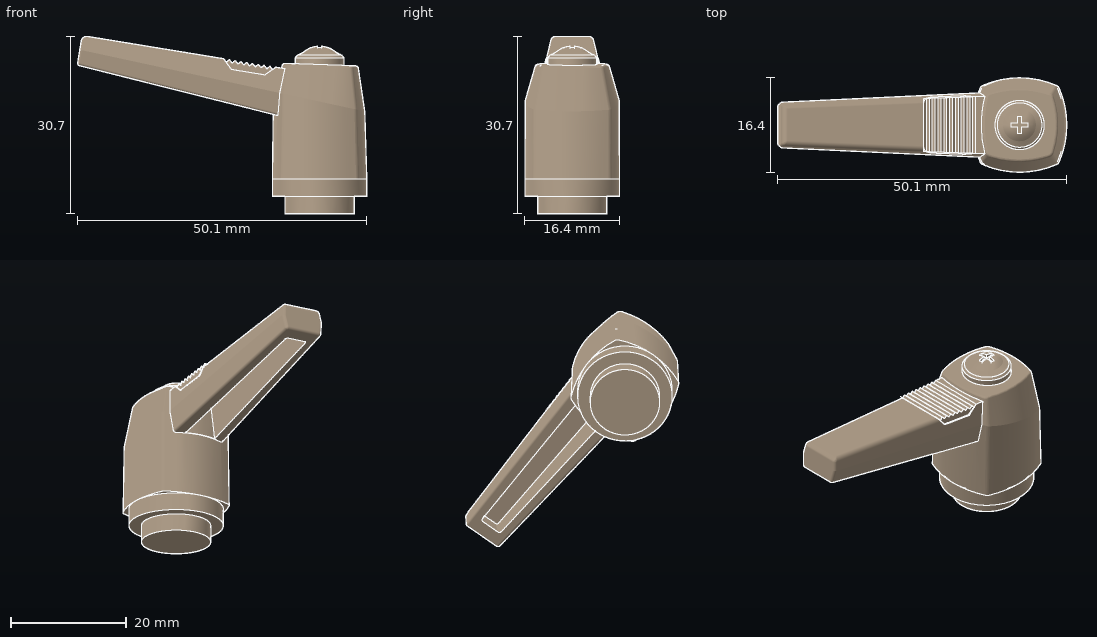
import cadquery as cq
import math


spigot_diameter = 12.0
overall_length = 50.1
collar_diameter = 16.4
spigot_height = 3.0
hub_base_z = 6.05

hub_base_bulge = collar_diameter / 2
hub_base_corner = 6.7
hub_bend_bulge_right = 7.85
hub_bend_bulge_left = 8.0
hub_bend_corner_x = 6.4
hub_bend_bulge_y = hub_base_bulge
hub_bend_corner_y = 6.65
hub_top_bulge_right = 6.65
hub_top_bulge_left = 6.35
hub_top_corner_x = 5.7
hub_top_bulge_y = 6.35
hub_top_corner_y = 5.35
hub_top_z = 25.85
hub_top_slope = math.tan(math.radians(2))
hub_corner_radius = 1.0
hub_top_radius = 0.5
corner_edge_min_rise = 4.5

washer_diameter = 8.5
washer_base_z = 25.05
washer_side_z = 27.0
washer_shoulder_diameter = 7.7
washer_shoulder_z = 27.45
screw_diameter = 5.7
screw_base_z = 27.95
screw_top_z = 29.05
cross_length = 2.9
cross_width = 0.7
cross_floor_z = 28.3

arm_top_z = 24.15
arm_top_slope = math.tan(math.radians(9.3))
parting_z = 19.4
parting_slope = math.tan(math.radians(12.2))
arm_bottom_z = 15.2
arm_bottom_slope = math.tan(math.radians(14.1))
arm_half_width = 5.9
arm_width_slope = 0.047
side_draft = math.tan(math.radians(8.5))
arm_root_x = -2.5
arm_top_radius = 1.0
arm_edge_radius = 0.5
tip_rounding = 0.07
arm_tip_x = collar_diameter / 2 - overall_length - tip_rounding
steep_normal = 0.9

channel_tip_x = -39.35
channel_roof_drop = 1.95
channel_half_width = 3.25
channel_width_slope = 0.03
channel_overcut = 0.5
channel_radius = 0.4
channel_end_x = -8.15
channel_end_radius = 14.9

groove_count = 9
groove_pitch = 1.0
groove_depth = 0.5
grip_start_x = -16.65
grip_depth = 1.65
grip_start_run = 1.35
grip_end_run = 1.85
grip_half_width = 5.15
grip_width_slope = 0.034
grip_low_start_x = grip_start_x + grip_start_run
grip_end_x = grip_start_x + groove_count * groove_pitch
grip_low_end_x = grip_end_x - grip_end_run
cutter_half_width = 10.0


def top_height(x):
    return arm_top_z - arm_top_slope * x


def parting_height(x):
    return parting_z - parting_slope * x


def bottom_height(x):
    return arm_bottom_z - arm_bottom_slope * x


def hub_top_height(x):
    return hub_top_z - hub_top_slope * x


def hub_base_height(x):
    return hub_base_z


def flat_face(points):
    return cq.Face.makeFromWires(cq.Wire.makePolygon([cq.Vector(*p) for p in points], close=True))


def flat_sided_solid(start, end):
    """Solid with flat sides between two sections that have matching corners."""
    faces = [flat_face(start), flat_face(end)]
    for i in range(len(start)):
        faces.append(flat_face([start[i - 1], start[i], end[i], end[i - 1]]))
    return cq.Workplane(obj=cq.Solid.makeSolid(cq.Shell.makeShell(faces)))


def hub_section(bulge_right, bulge_left, corner_x, bulge_y, corner_y, height):
    """Four-arc outline lying on the plane z = height(x)."""
    corners = [(corner_x, -corner_y), (corner_x, corner_y), (-corner_x, corner_y), (-corner_x, -corner_y)]
    middles = [(bulge_right, 0), (0, bulge_y), (-bulge_left, 0), (0, -bulge_y)]
    edges = []
    for i, middle in enumerate(middles):
        arc_points = [corners[i], middle, corners[(i + 1) % len(corners)]]
        edges.append(cq.Edge.makeThreePointArc(*[cq.Vector(x, y, height(x)) for x, y in arc_points]))
    return cq.Wire.assembleEdges(edges)


def make_hub():
    base = hub_section(
        hub_base_bulge, hub_base_bulge, hub_base_corner, hub_base_bulge, hub_base_corner, hub_base_height
    )
    bend = hub_section(
        hub_bend_bulge_right,
        hub_bend_bulge_left,
        hub_bend_corner_x,
        hub_bend_bulge_y,
        hub_bend_corner_y,
        parting_height,
    )
    top = hub_section(
        hub_top_bulge_right,
        hub_top_bulge_left,
        hub_top_corner_x,
        hub_top_bulge_y,
        hub_top_corner_y,
        hub_top_height,
    )
    hub = cq.Workplane(obj=cq.Solid.makeLoft([base, bend, top], True))
    corner_edges = hub.edges().filter(lambda edge: edge.BoundingBox().zlen > corner_edge_min_rise)
    hub = corner_edges.fillet(hub_corner_radius)
    return hub.faces(">Z").edges().fillet(hub_top_radius)


def make_base():
    spigot = cq.Workplane().circle(spigot_diameter / 2).extrude(spigot_height)
    collar = (
        cq.Workplane()
        .workplane(offset=spigot_height)
        .circle(collar_diameter / 2)
        .extrude(hub_base_z - spigot_height)
    )
    return spigot.union(collar)


def make_screw_and_washer():
    screw_radius = screw_diameter / 2
    dome_rise = screw_top_z - screw_base_z
    dome_radius = (screw_radius**2 + dome_rise**2) / (2 * dome_rise)
    half_angle = math.asin(screw_radius / dome_radius) / 2
    dome_middle = (
        dome_radius * math.sin(half_angle),
        screw_top_z - dome_radius * (1 - math.cos(half_angle)),
    )
    body = (
        cq.Workplane("XZ")
        .moveTo(0, washer_base_z)
        .lineTo(washer_diameter / 2, washer_base_z)
        .lineTo(washer_diameter / 2, washer_side_z)
        .lineTo(washer_shoulder_diameter / 2, washer_shoulder_z)
        .lineTo(screw_radius, screw_base_z)
        .threePointArc(dome_middle, (0, screw_top_z))
        .close()
        .revolve(360, (0, 0, 0), (0, 1, 0))
    )
    cross_depth = screw_top_z - cross_floor_z
    slot_plane = cq.Workplane().workplane(offset=cross_floor_z)
    for size_x, size_y in [(cross_length, cross_width), (cross_width, cross_length)]:
        body = body.cut(slot_plane.rect(size_x, size_y).extrude(cross_depth))
    return body


def arm_section(bottom_x, lean):
    """Six-sided arm outline, widest on the parting line, leaning towards +X as it rises."""

    def x_on_section(line_z, slope):
        return (bottom_x + lean * (line_z - bottom_height(bottom_x))) / (1 + lean * slope)

    top_x = x_on_section(arm_top_z, arm_top_slope)
    parting_x = x_on_section(parting_z, parting_slope)
    left_side = []
    for x, z in [
        (top_x, top_height(top_x)),
        (parting_x, parting_height(parting_x)),
        (bottom_x, bottom_height(bottom_x)),
    ]:
        half_width = arm_half_width + arm_width_slope * x - side_draft * abs(z - parting_height(x))
        left_side.append((x, half_width, z))
    right_side = [(x, -y, z) for x, y, z in reversed(left_side)]
    return left_side + right_side


def make_sharp_arm():
    tip = arm_section(arm_tip_x, arm_top_slope)
    root = arm_section(arm_root_x, 0)
    return flat_sided_solid(tip, root)


def round_arm(arm):
    """Round the arm everywhere except where it enters the hub."""
    top_face = arm.faces().filter(lambda face: face.normalAt().z > steep_normal)
    arm = top_face.edges("not >X").fillet(arm_top_radius)
    tip_side_edges = arm.faces("<X").edges().filter(lambda edge: edge.BoundingBox().zlen > arm_edge_radius)
    arm = tip_side_edges.fillet(arm_edge_radius)
    bottom_face = arm.faces().filter(lambda face: face.normalAt().z < -steep_normal)
    return bottom_face.edges("not >X").fillet(arm_edge_radius)


def side_prism(points):
    """Cutter with the given XZ outline, reaching past both sides of the arm."""
    return cq.Workplane("XZ").polyline(points).close().extrude(cutter_half_width, both=True)


def make_grip_zone():
    """Upper strip of the arm from the grip start to the hub, where the top edges stay sharp."""
    return side_prism(
        [
            (grip_start_x, top_height(grip_start_x)),
            (grip_low_start_x, top_height(grip_low_start_x) - grip_depth),
            (arm_root_x, top_height(arm_root_x) - grip_depth),
            (arm_root_x, top_height(arm_root_x)),
        ]
    )


def make_grip_trim():
    """Cutter for the upright flanks of the grip, leaving its tapered core."""
    outline = [
        (grip_start_x, top_height(grip_start_x)),
        (grip_low_start_x, top_height(grip_low_start_x) - grip_depth),
        (grip_low_end_x, top_height(grip_low_end_x) - grip_depth),
        (grip_end_x, top_height(grip_end_x)),
        (grip_end_x, top_height(grip_start_x)),
    ]
    start_half = grip_half_width + grip_width_slope * grip_start_x
    end_half = grip_half_width + grip_width_slope * grip_end_x
    core = (
        cq.Workplane()
        .polyline(
            [
                (grip_start_x, -start_half),
                (grip_end_x, -end_half),
                (grip_end_x, end_half),
                (grip_start_x, start_half),
            ]
        )
        .close()
        .extrude(top_height(grip_start_x))
    )
    return side_prism(outline).cut(core)


def cut_grooves(arm):
    for i in range(groove_count):
        start_x = grip_start_x + i * groove_pitch
        middle_x = start_x + groove_pitch / 2
        end_x = start_x + groove_pitch
        groove = side_prism(
            [
                (start_x, top_height(start_x)),
                (middle_x, top_height(middle_x) - groove_depth),
                (end_x, top_height(end_x)),
            ]
        )
        arm = arm.cut(groove)
    return arm


def make_channel():
    """Drafted pocket with a roof parallel to the top of the arm."""
    sections = []
    for x in (channel_tip_x, arm_root_x):
        roof_z = top_height(x) - channel_roof_drop
        open_z = bottom_height(x) - channel_overcut
        open_half = channel_half_width + channel_width_slope * x
        roof_half = open_half - side_draft * (roof_z - open_z)
        sections.append(
            [(x, -open_half, open_z), (x, open_half, open_z), (x, roof_half, roof_z), (x, -roof_half, roof_z)]
        )
    channel = flat_sided_solid(*sections)
    upright_edges = channel.faces("<X").edges("not |Y")
    channel = upright_edges.fillet(channel_radius)
    end_wall = (
        cq.Workplane()
        .center(channel_end_x + channel_end_radius, 0)
        .circle(channel_end_radius)
        .extrude(top_height(channel_end_x))
    )
    return channel.cut(end_wall)


def make_arm():
    sharp_arm = make_sharp_arm()
    arm = round_arm(sharp_arm).union(sharp_arm.intersect(make_grip_zone()))
    arm = arm.cut(make_grip_trim())
    arm = cut_grooves(arm)
    return arm.cut(make_channel())


result = make_base().union(make_arm()).union(make_hub()).union(make_screw_and_washer())